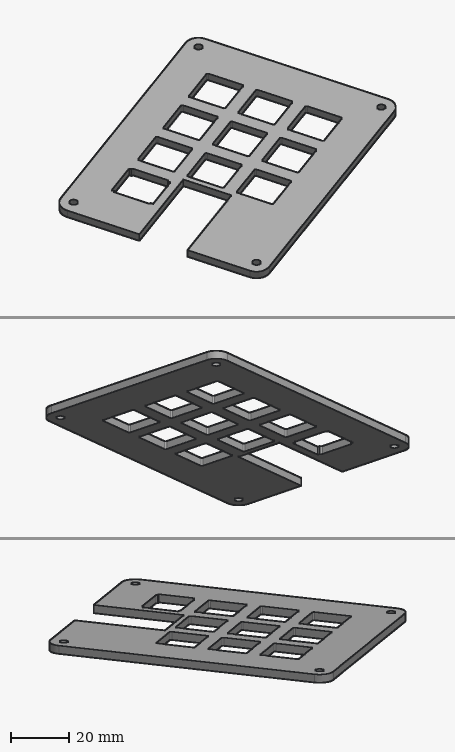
import cadquery as cq

plate_width = 80.4
plate_length = 103.5
plate_thickness = 3.0
corner_radius = 5.0

screw_hole_diameter = 2.9
screw_hole_inset = corner_radius

key_columns = 3
key_rows = 3
key_pitch = 19.0
key_window_size = 14.1
window_corner_radius = 0.5
key_grid_x = -0.1
key_grid_y = 9.5

large_key_shift_x = 0.5
large_key_x = key_grid_x - key_pitch + large_key_shift_x
large_key_y = key_grid_y - 2 * key_pitch
relief_width = 15.9
relief_height = 12.9

notch_left_x = -7.3
notch_right_x = 11.2
notch_depth = 33.0


def plate_block(width, length, x, y):
    """Rectangular block as thick as the plate, centred at (x, y)."""
    return cq.Workplane("XY").center(x, y).rect(width, length).extrude(plate_thickness)


def key_window(x, y):
    """Square cutter with rounded corners for one key."""
    block = plate_block(key_window_size, key_window_size, x, y)
    return block.edges("|Z").fillet(window_corner_radius)


plate = plate_block(plate_width, plate_length, 0, 0).edges("|Z").fillet(corner_radius)

plate = (
    plate.faces(">Z")
    .workplane(origin=(0, 0, plate_thickness))
    .rect(plate_width - 2 * screw_hole_inset, plate_length - 2 * screw_hole_inset, forConstruction=True)
    .vertices()
    .hole(screw_hole_diameter)
)

for column in range(key_columns):
    for row in range(key_rows):
        window_x = key_grid_x + (column - (key_columns - 1) / 2) * key_pitch
        window_y = key_grid_y + (row - (key_rows - 1) / 2) * key_pitch
        plate = plate.cut(key_window(window_x, window_y))

plate = plate.cut(key_window(large_key_x, large_key_y))
plate = plate.cut(plate_block(relief_width, relief_height, large_key_x, large_key_y))

notch_width = notch_right_x - notch_left_x
notch_x = (notch_left_x + notch_right_x) / 2
notch_y = (notch_depth - plate_length) / 2
result = plate.cut(plate_block(notch_width, notch_depth, notch_x, notch_y))